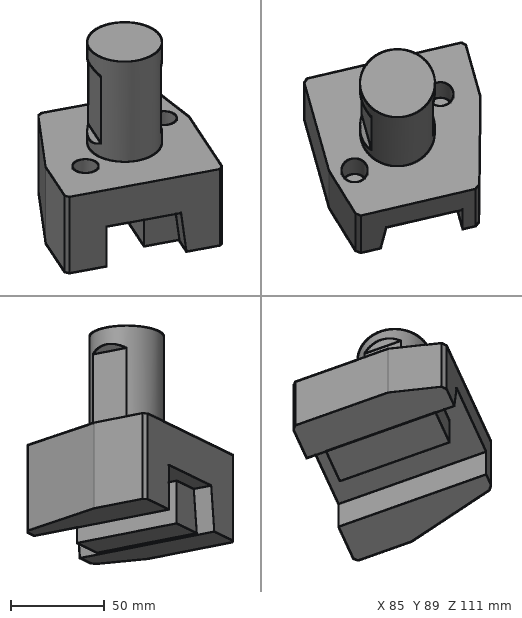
import cadquery as cq
import math

overall_height = 111
block_length = 85.0
block_height = 48.1
back_y = 41.0
front_y = back_y - 89.0
half_length = block_length / 2
corner_chamfer = 2.0

taper_slope = math.tan(math.radians(15))
back_taper_x = -12.9
front_taper_x = 9.8

shaft_diameter = 40
flat_spacing = 34.0
flat_bottom_z = block_height + 8.8
flat_length = 41.6

hole_diameter = 14.0
hole_depth = 20
hole_radius = 32.0
hole_angle = math.radians(60)

slot_depth = 25.0
slot_front_y = -25.0
slot_back_bottom_y = 20.1
lean = math.tan(math.radians(7))

insert_setback = 11.0
insert_front_y = 0
insert_clearance = 1.0


def make_block():
    back_corner_y = back_y - (back_taper_x + half_length) * taper_slope
    front_corner_y = front_y + (front_taper_x + half_length) * taper_slope
    block = (
        cq.Workplane("XY")
        .moveTo(-half_length, front_corner_y)
        .lineTo(front_taper_x, front_y)
        .lineTo(half_length, front_y)
        .lineTo(half_length, back_y)
        .lineTo(back_taper_x, back_y)
        .lineTo(-half_length, back_corner_y)
        .close()
        .extrude(block_height)
    )
    end_corners = block.faces("<X or >X").edges("|Z")
    return end_corners.chamfer(corner_chamfer)


def make_slot_prism(front_wall_y, bottom_z, length):
    """Prism centred on X, reaching from a front wall to the leaning slot wall."""
    return (
        cq.Workplane("YZ")
        .moveTo(front_wall_y, bottom_z)
        .lineTo(slot_back_bottom_y - bottom_z * lean, bottom_z)
        .lineTo(slot_back_bottom_y - slot_depth * lean, slot_depth)
        .lineTo(front_wall_y, slot_depth)
        .close()
        .extrude(length / 2, both=True)
    )


def make_flat_cutter():
    """Cutter for the flat on the +Y side, with 45 degree ends."""
    flat_y = flat_spacing / 2
    outer_y = shaft_diameter / 2 + 1.1
    run_out = outer_y - flat_y
    flat_top_z = flat_bottom_z + flat_length
    return (
        cq.Workplane("YZ")
        .moveTo(flat_y, flat_bottom_z)
        .lineTo(outer_y, flat_bottom_z - run_out)
        .lineTo(outer_y, flat_top_z + run_out)
        .lineTo(flat_y, flat_top_z)
        .close()
        .extrude(shaft_diameter / 2, both=True)
    )


def make_shaft():
    shaft = (
        cq.Workplane("XY")
        .workplane(offset=block_height)
        .circle(shaft_diameter / 2)
        .extrude(overall_height - block_height)
    )
    cutter = make_flat_cutter()
    return shaft.cut(cutter).cut(cutter.mirror("XZ"))


def make_holes():
    hole_x = hole_radius * math.cos(hole_angle)
    hole_y = hole_radius * math.sin(hole_angle)
    return (
        cq.Workplane("XY")
        .workplane(offset=block_height)
        .pushPoints([(-hole_x, hole_y), (hole_x, -hole_y)])
        .circle(hole_diameter / 2)
        .extrude(-hole_depth)
    )


slot = make_slot_prism(slot_front_y, 0, block_length)
insert = make_slot_prism(insert_front_y, insert_clearance, block_length - 2 * insert_setback)
result = make_block().cut(slot).cut(make_holes()).union(insert).union(make_shaft())